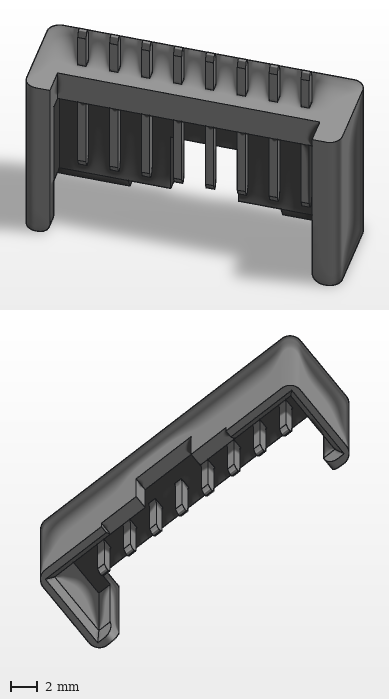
import cadquery as cq

length = 24.7
depth = 7.5
housing_height = 14.2
corner_radius = 1.0

end_wall = 1.01
long_wall = 1.09
roof_thickness = 2.52
roof_underside = housing_height - roof_thickness
cavity_length = length - 2 * end_wall
cavity_depth = depth - 2 * long_wall
lead_in_height = 0.96
lead_in_width = 0.5

window_length = 20.5
window_depth = 2.1
lip_radius = lead_in_height

relief_length = 11.95
relief_height = lead_in_height
notch_length = 5.29
notch_height = 6.05

pin_count = 8
pin_pitch = 2.5
pin_width = 0.65
pin_top = 17.5
pin_bottom = 4.15
pin_thickness = 0.7
root_thickness = 0.95
root_bottom = 10.87
tip_height = 0.6
tip_round_height = 0.17
tip_round_width = 0.37


def make_housing():
    return (
        cq.Workplane("XY")
        .rect(length, depth)
        .extrude(housing_height)
        .edges("|Z")
        .fillet(corner_radius)
    )


def make_cavity():
    """Box-shaped cavity, flared at its mouth by a lead-in around all four sides."""
    cavity = (
        cq.Workplane("XY")
        .rect(cavity_length, cavity_depth)
        .extrude(roof_underside)
    )
    lead_in = (
        cq.Workplane("XY")
        .rect(cavity_length + 2 * lead_in_width, cavity_depth + 2 * lead_in_width)
        .workplane(offset=lead_in_height)
        .rect(cavity_length, cavity_depth)
        .loft(ruled=True)
    )
    return cavity.union(lead_in)


def make_front_window():
    """Slot through the front wall and roof edge; its lower corners are rounded outwards."""
    half_length = window_length / 2
    flared_half_length = half_length + lip_radius
    front = -depth / 2
    return (
        cq.Workplane("XZ", origin=(0, front, 0))
        .moveTo(-flared_half_length, 0)
        .lineTo(flared_half_length, 0)
        .radiusArc((half_length, lip_radius), lip_radius)
        .lineTo(half_length, housing_height)
        .lineTo(-half_length, housing_height)
        .lineTo(-half_length, lip_radius)
        .radiusArc((-flared_half_length, 0), lip_radius)
        .close()
        .extrude(-window_depth)
    )


def make_rear_cut(cut_length, cut_height):
    """Rectangular cut from the bottom edge through the rear wall only."""
    return cq.Workplane("XY").box(
        cut_length, depth / 2, cut_height, centered=(True, False, False)
    )


def make_pin(x):
    """Flat-sided pin with tapered, rounded ends; its root widens towards the roof."""
    half_pin = pin_thickness / 2
    half_root = root_thickness / 2
    half_round = tip_round_width / 2
    return (
        cq.Workplane("YZ", origin=(x - pin_width / 2, 0, 0))
        .moveTo(half_pin, pin_bottom + tip_height)
        .lineTo(half_pin, root_bottom)
        .lineTo(half_root, roof_underside)
        .lineTo(half_pin, roof_underside)
        .lineTo(half_pin, pin_top - tip_height)
        .lineTo(half_round, pin_top - tip_round_height)
        .threePointArc((0, pin_top), (-half_round, pin_top - tip_round_height))
        .lineTo(-half_pin, pin_top - tip_height)
        .lineTo(-half_pin, roof_underside)
        .lineTo(-half_root, roof_underside)
        .lineTo(-half_pin, root_bottom)
        .lineTo(-half_pin, pin_bottom + tip_height)
        .lineTo(-half_round, pin_bottom + tip_round_height)
        .threePointArc((0, pin_bottom), (half_round, pin_bottom + tip_round_height))
        .close()
        .extrude(pin_width)
    )


result = (
    make_housing()
    .cut(make_cavity())
    .cut(make_front_window())
    .cut(make_rear_cut(relief_length, relief_height))
    .cut(make_rear_cut(notch_length, notch_height))
)

for index in range(pin_count):
    pin_x = (index - (pin_count - 1) / 2) * pin_pitch
    result = result.union(make_pin(pin_x))